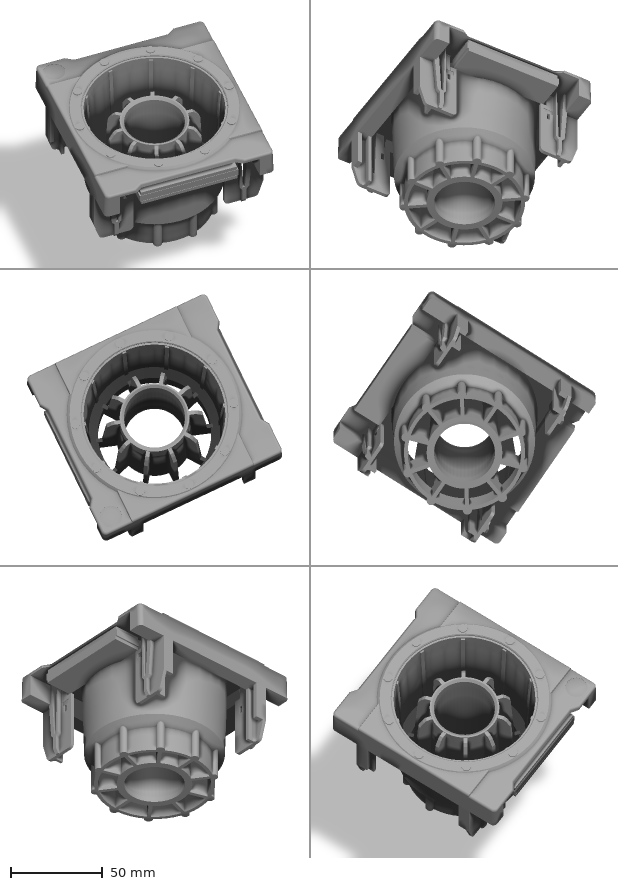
import cadquery as cq
total_height = 73.0
stud_height = 0.5
ring_top = total_height - stud_height
centre_top = 72.0
plate_top = 71.0
plate_underside = 68.5
rail_bottom = 55.8
drum_bottom = 20.2
socket_top = 15.1
leg_bottom = 22.2

plate_length = 108.6
plate_width = 99.0
side_draft = 0.5
rail_inner = 40.8
corner_radius = 2.6
edge_radius = 1.3
centre_half_length = 37.0
centre_slope = 0.4
notch_depth = 2.6
notch_draft_angle = 15.0
notch_half_outer = 31.1
notch_half_inner = 27.2
badge_diameter = 12.0
badge_x = -45.9
badge_y = -40.9
badge_depth = 0.2

ring_base_radius = 47.9
ring_top_radius = 46.3
stud_diameter = 5.0
stud_circle_radius = 43.5
spoke_count = 10

rim_radius = 40.3
rim_chamfer = 0.5
rim_depth = 1.1
bore_top_radius = 38.7
bore_low_radius = 36.0
socket_bore_radius = 31.0
drum_top_radius = 40.0
drum_low_radius = 38.4
socket_radius = 33.0
grip_diameter = 5.0
grip_circle_radius = 33.0
grip_top = 17.6

hub_top = 62.0
hub_top_radius = 19.0
hub_low_radius = 20.6
hub_bore_top_radius = 18.0
hub_bore_radius = 16.6
hub_bore_chamfer = 1.1
spoke_width = 2.2
spoke_embed = 0.8
fin_top = 61.7
fin_flat_radius = 22.2
fin_bend_radius = 23.9
fin_bend_drop = 1.6
fin_tip_radius = 26.3
fin_tip_drop = 5.4
saddle_height = 16.3
saddle_inner_radius = 28.7
saddle_outer_radius = 33.6
wall_rib_low_radius = 35.1
wall_rib_rise = 1.5
wall_rib_top = 70.0
wall_rib_top_radius = 37.8

leg_face = 37.2
leg_thickness = 2.1
leg_inner = 26.5
leg_notch = 30.4
leg_top = 65.9
leg_shoulder = 33.7
leg_taper = 3.6
leg_corner = 2.6
side_plate_thickness = 2.6
back_rib_end = 30.4
back_rib_inner = 41.0
back_rib_width = 1.7
back_rib_fillet = 1.5

head_recess = 0.2
head_top = 65.2
crossbar_recess = 0.4
crossbar_inner = 28.1
crossbar_bottom = 52.0
crossbar_top = 54.7
window_outer = 33.9
stem_slot_inner = 30.3
stem_slot_outer = 32.3
stem_slot_bottom = 47.7

fork_face = 39.9
stem_inner = 36.1
stem_outer = 38.3
stem_top = 32.6
slit_bottom = 34.5
slit_low_inner = 36.3
slit_low_outer = 37.6
slit_high_inner = 35.2
slit_high_outer = 39.5
fork_inner = 34.6
fork_low_outer = 40.1
fork_high_outer = 42.7
stem_bevel_depth = 1.6
stem_bevel_height = 2.6

bar_bottom = 57.5
bar_ledge = 59.5
bar_break = 63.7
bar_top = 66.0
bar_tip = 53.3
bar_face = 52.9
band_face = 53.1
bar_root = 36.9
bar_half_length = 28.0
bar_band_half_length = 28.8


def both_sides(shape, plane):
    """The shape together with its mirror image."""
    return shape.union(shape.mirror(plane))


def ring_of(shape):
    """Copies of a shape spread evenly about Z."""
    pattern = shape
    for i in range(1, spoke_count):
        pattern = pattern.union(shape.rotate((0, 0, 0), (0, 0, 1), i * 360 / spoke_count))
    return pattern


def block(x_range, y_range, z_range):
    """Axis-aligned box between the given limits."""
    return (cq.Workplane("XY", origin=(x_range[0], y_range[0], z_range[0]))
            .box(x_range[1] - x_range[0], y_range[1] - y_range[0], z_range[1] - z_range[0], centered=False))


def end_plate(points, outer_x, inner_x):
    """Plate normal to X, from a (Y, Z) outline, between two X positions."""
    return cq.Workplane("YZ", origin=(outer_x, 0, 0)).polyline(points).close().extrude(inner_x - outer_x)


def end_bar(points, half_length):
    """Bar along Y, from an (X, Z) outline, centred on Y = 0."""
    return cq.Workplane("XZ").polyline(points).close().extrude(half_length, both=True)


def revolved(points):
    """Solid of revolution about Z from an (R, Z) outline."""
    return cq.Workplane("XZ").polyline(points).close().revolve(360, (0, 0, 0), (0, 1, 0))


def drafted_half_width(z):
    """Half width of the cover plate at a height, its long sides leaning in upwards."""
    return plate_width / 2 - side_draft * (z - rail_bottom) / (plate_top - rail_bottom)


def drafted_slab(half_length, bottom, top):
    """Slab with the leaning long sides of the cover plate."""
    outline = [
        (-drafted_half_width(bottom), bottom),
        (-drafted_half_width(top), top),
        (drafted_half_width(top), top),
        (drafted_half_width(bottom), bottom),
    ]
    return end_plate(outline, -half_length, half_length)


def cover_plate():
    half_length = plate_length / 2
    plate = drafted_slab(half_length, rail_bottom, plate_top)
    plate = plate.edges("not(#Z or |Y or |X)").fillet(corner_radius)

    channel = block((-half_length, half_length), (-rail_inner, rail_inner), (rail_bottom, plate_underside))
    plate = plate.cut(channel)
    notch = (
        cq.Workplane("XY", origin=(0, 0, plate_underside))
        .polyline([
            (-half_length, -notch_half_outer),
            (-half_length, notch_half_outer),
            (notch_depth - half_length, notch_half_inner),
            (notch_depth - half_length, -notch_half_inner),
        ])
        .close()
        .extrude(plate_top - plate_underside, taper=-notch_draft_angle)
    )
    plate = plate.cut(both_sides(notch, "YZ"))
    plate = plate.faces(">Z").edges().fillet(edge_radius)

    badge = cq.Workplane("XY", origin=(badge_x, badge_y, plate_top - badge_depth))
    plate = plate.cut(badge.circle(badge_diameter / 2).extrude(badge_depth))

    centre = (
        drafted_slab(centre_half_length, plate_underside, centre_top)
        .edges("|X and >Z").fillet(edge_radius)
        .faces(">Z").edges("|Y").chamfer(centre_top - plate_top, centre_slope)
    )
    return plate.union(centre)


def raised_ring():
    ring = revolved([
        (0, plate_underside),
        (ring_base_radius, plate_underside),
        (ring_base_radius, plate_top),
        (ring_top_radius, ring_top),
        (0, ring_top),
    ])
    stud = (
        cq.Workplane("XY", origin=(0, stud_circle_radius, plate_underside))
        .circle(stud_diameter / 2)
        .extrude(total_height - plate_underside)
    )
    return ring.union(ring_of(stud))


def drum():
    body = revolved([
        (0, 0),
        (socket_radius, 0),
        (socket_radius, socket_top),
        (drum_low_radius, drum_bottom),
        (drum_top_radius, plate_underside),
        (0, plate_underside),
    ])
    grip = (
        cq.Workplane("XY", origin=(0, grip_circle_radius, 0))
        .circle(grip_diameter / 2)
        .extrude(grip_top)
    )
    return body.union(ring_of(grip))


def drum_bore():
    return revolved([
        (0, 0),
        (socket_bore_radius, 0),
        (socket_bore_radius, socket_top),
        (bore_low_radius, drum_bottom),
        (bore_top_radius, ring_top - rim_depth),
        (rim_radius - rim_chamfer, ring_top - rim_depth),
        (rim_radius - rim_chamfer, ring_top - rim_chamfer),
        (rim_radius, ring_top),
        (0, ring_top),
    ])


def hub_with_spokes():
    spoke = (
        cq.Workplane("YZ")
        .polyline([
            (hub_bore_top_radius, 0),
            (socket_bore_radius + spoke_embed, 0),
            (socket_bore_radius + spoke_embed, socket_top),
            (bore_low_radius + spoke_embed, drum_bottom),
            (bore_top_radius + spoke_embed, wall_rib_top),
            (wall_rib_top_radius, wall_rib_top),
            (wall_rib_low_radius, saddle_height + wall_rib_rise),
            (saddle_outer_radius, saddle_height),
            (saddle_inner_radius, saddle_height),
            (fin_tip_radius, fin_top - fin_tip_drop),
            (fin_bend_radius, fin_top - fin_bend_drop),
            (fin_flat_radius, fin_top),
            (hub_bore_top_radius, fin_top),
        ])
        .close()
        .extrude(spoke_width / 2, both=True)
    )
    hub = revolved([(0, 0), (hub_low_radius, 0), (hub_top_radius, hub_top), (0, hub_top)])
    hub_bore = revolved([
        (0, 0),
        (hub_bore_radius, 0),
        (hub_bore_radius, hub_top - hub_bore_chamfer),
        (hub_bore_top_radius, hub_top),
        (0, hub_top),
    ])
    return hub.union(ring_of(spoke)).cut(hub_bore)


def latch_leg():
    """One corner leg at -X, +Y: two flat tongues joined by a forked rib, with a side plate."""
    outer_y = plate_width / 2
    back_x = leg_thickness - leg_face
    tongues = end_plate([
        (leg_inner, leg_bottom),
        (outer_y - leg_taper, leg_bottom),
        (outer_y, leg_shoulder),
        (outer_y, rail_bottom),
        (fork_high_outer, plate_underside),
        (slit_high_inner, plate_underside),
        (slit_high_inner, leg_top),
        (leg_notch, leg_top),
        (leg_notch, bar_bottom),
        (leg_inner, bar_bottom),
    ], -leg_face, back_x)
    tongues = tongues.edges("|X and <Z").fillet(leg_corner)

    fork = end_plate([
        (stem_inner, leg_bottom),
        (stem_inner, stem_top),
        (fork_inner, slit_bottom),
        (fork_inner, leg_top),
        (slit_high_inner, plate_underside),
        (fork_high_outer, plate_underside),
        (fork_low_outer, slit_bottom),
        (stem_outer, stem_top),
        (stem_outer, leg_bottom),
    ], -fork_face, -leg_face)
    fork = fork.faces("<Z").edges("<X").chamfer(stem_bevel_depth, stem_bevel_height)

    slit = end_plate([
        (slit_low_inner, slit_bottom),
        (slit_low_outer, slit_bottom),
        (slit_high_outer, plate_underside),
        (slit_high_inner, plate_underside),
        (slit_high_inner, leg_top),
    ], -fork_face, back_x)

    side_plate = block(
        (-leg_face, -back_rib_end),
        (outer_y - side_plate_thickness, outer_y),
        (leg_shoulder, rail_bottom),
    )
    back_rib_outer = back_rib_inner + back_rib_width
    back_rib = (
        cq.Workplane("XY", origin=(0, 0, leg_bottom))
        .moveTo(-back_rib_end, back_rib_inner)
        .lineTo(-back_rib_end, back_rib_outer)
        .lineTo(back_x + back_rib_fillet, back_rib_outer)
        .radiusArc((back_x, back_rib_outer + back_rib_fillet), back_rib_fillet)
        .lineTo(back_x, back_rib_inner)
        .close()
        .extrude(rail_bottom - leg_bottom)
    )
    return tongues.union(fork).cut(slit).union(side_plate).union(back_rib)


def leg_window():
    """Recesses in the inner tongue: a shallow head, and a T whose stem goes through."""
    head = block((-leg_face, head_recess - leg_face), (leg_notch, window_outer), (crossbar_top, head_top))
    crossbar = block(
        (-leg_face, crossbar_recess - leg_face),
        (crossbar_inner, window_outer),
        (crossbar_bottom, crossbar_top),
    )
    back_x = leg_thickness - leg_face
    stem = block((-leg_face, back_x), (stem_slot_inner, stem_slot_outer), (stem_slot_bottom, crossbar_bottom))
    return head.union(crossbar).union(stem)


def latch_bar():
    bar = end_bar([
        (-bar_root, bar_bottom),
        (-bar_tip, bar_bottom),
        (-bar_tip, bar_ledge),
        (-bar_face, bar_ledge),
        (-bar_face, bar_top),
        (-bar_root, bar_top),
    ], bar_half_length)
    band = end_bar([
        (-bar_root, bar_ledge),
        (-band_face, bar_ledge),
        (-band_face, bar_break),
        (-bar_root, bar_break),
    ], bar_band_half_length)
    return bar.union(band)


leg = latch_leg().cut(leg_window())
latches = both_sides(both_sides(leg, "XZ").union(latch_bar()), "YZ")

result = (
    cover_plate()
    .union(raised_ring())
    .union(drum())
    .union(latches)
    .cut(drum_bore())
    .union(hub_with_spokes())
)